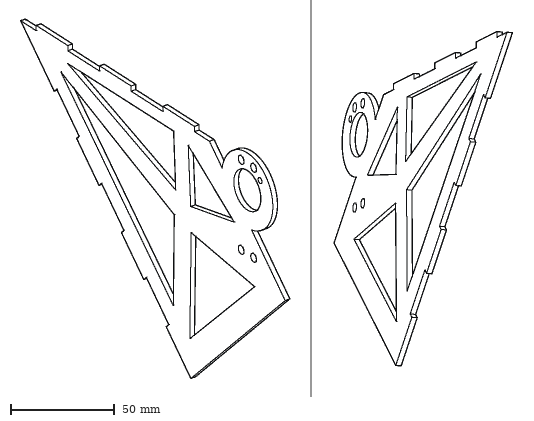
import cadquery as cq
import math

thickness = 2.87

top_edge = 151.5
overall_length = 212.3
overall_height = 143.42
bottom_x = overall_length - top_edge / 2
bottom_z = -bottom_x
right_z = top_edge - overall_length

finger = 25.4
finger_depth = thickness
finger_count = 3
first_tab = 12.5
first_notch = 1.5 * finger

ring_radius = 20.5
ring_x = 181.9
ring_z = overall_height + bottom_z - ring_radius
bore_diameter = 21.59
screw_diameter = 4.5
screw_spacing = 10.0
upper_screw_offset = 14.5
lower_screw_offset = -34.8
pin_diameter = 3.05
pin_offset_x = 10.2
pin_offset_z = 9.8

upper_left_window = [(37.8, -7.0), (122.7, -7.0), (124.4, -38.5)]
lower_left_window = [(32.3, -14.0), (123.2, -52.6), (122.5, -102.6)]
upper_right_window = [(134.5, -9.7), (171.3, -35.7), (136.5, -42.3)]
lower_right_window = [(136.9, -56.5), (187.7, -63.9), (135.8, -115.0)]
windows = [upper_left_window, lower_left_window, upper_right_window, lower_right_window]


def plate(sketch):
    """Extrude an XZ sketch through the plate thickness, from y = 0 towards +Y."""
    return sketch.extrude(-thickness)


def polygon(corners):
    return plate(cq.Workplane("XZ").polyline(corners).close())


def disc(x, z, diameter):
    return plate(cq.Workplane("XZ").center(x, z).circle(diameter / 2))


def along_lower_edge(distance, inset):
    """Point at a distance down the 45 degree lower left edge, moved inward by the inset."""
    slope = math.sqrt(0.5)
    return ((distance + inset) * slope, (inset - distance) * slope)


def top_tab(start):
    end = start + finger
    return polygon([(start, 0), (end, 0), (end, finger_depth), (start, finger_depth)])


def lower_notch(start):
    end = start + finger
    return polygon([
        along_lower_edge(start, 0),
        along_lower_edge(end, 0),
        along_lower_edge(end, finger_depth),
        along_lower_edge(start, finger_depth),
    ])


body = polygon([(0, 0), (top_edge, 0), (overall_length, right_z), (bottom_x, bottom_z)])
body = body.union(disc(ring_x, ring_z, 2 * ring_radius))

for index in range(finger_count):
    shift = 2 * finger * index
    body = body.union(top_tab(first_tab + shift))
    body = body.cut(lower_notch(first_notch + shift))

for corners in windows:
    body = body.cut(polygon(corners))

body = body.cut(disc(ring_x, ring_z, bore_diameter))
for side in (-1, 1):
    screw_x = ring_x + side * screw_spacing / 2
    for offset in (upper_screw_offset, lower_screw_offset):
        body = body.cut(disc(screw_x, ring_z + offset, screw_diameter))
body = body.cut(disc(ring_x + pin_offset_x, ring_z + pin_offset_z, pin_diameter))

result = body